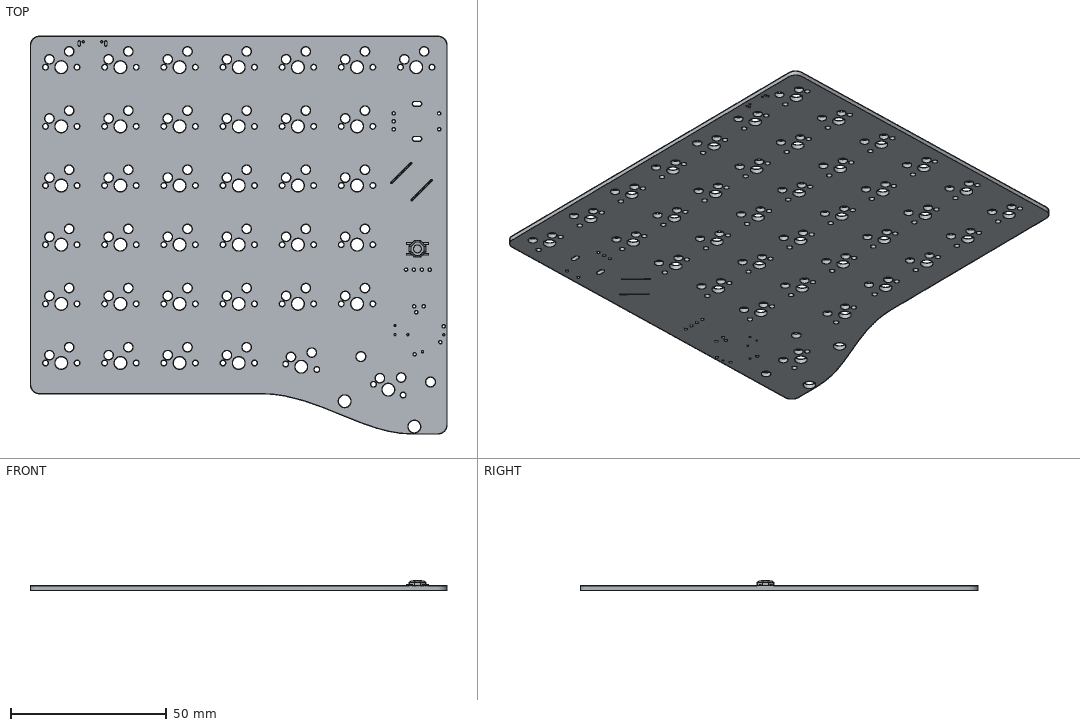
import cadquery as cq
import math

BOARD_LENGTH = 134.0
BOARD_DEPTH = 128.0
BOARD_THICKNESS = 1.6
CORNER_RADIUS = 3.0
LEFT_BOTTOM_Y = -51.0
WAVE_START_X = 7.5
WAVE_END_X = 55.6
WAVE_START_HANDLE = 17.5
WAVE_END_HANDLE = 16.0

KEY_PITCH = 19.0
KEYS_PER_ROW = [7, 6, 6, 6, 6, 4]
FIRST_KEY_X = -57.1
FIRST_KEY_Y = 54.0
GRID_STEP = KEY_PITCH / 15
POST_DIAMETER = 4.0
PEG_DIAMETER = 1.7
PEG_OFFSET = 4 * GRID_STEP
PIN_DIAMETER = 3.0
PIN_POINTS = [(-3 * GRID_STEP, 2 * GRID_STEP), (2 * GRID_STEP, 4 * GRID_STEP)]

INNER_THUMB = (20.1, -42.3)
INNER_THUMB_ANGLE = -10.0
OUTER_THUMB = (48.1, -49.7)
OUTER_THUMB_ANGLE = -20.0
STABILIZER_HALF_SPAN = 11.9
STABILIZER_SMALL_DIAMETER = 3.1
STABILIZER_SMALL_OFFSET = 7.0
STABILIZER_LARGE_OFFSET = -8.3

ENCODER_CENTER = (57.4, 36.6)
ENCODER_PIN_DIAMETER = 1.0
ENCODER_PIN_PITCH = 2.5
ENCODER_TERMINAL_X = -7.5
ENCODER_SWITCH_X = 7.1
ENCODER_SLOT_LENGTH = 3.0
ENCODER_SLOT_WIDTH = 1.5
ENCODER_SLOT_OFFSET = 5.6

HEADER_CENTER = (57.6, -11.1)
HEADER_PITCH = 2.5
HEADER_PINS = 4
HEADER_DIAMETER = 1.0

DIAGONAL_SLOT_CENTERS = [(52.3, 20.0), (58.8, 14.5)]
DIAGONAL_SLOT_LENGTH = 9.4
DIAGONAL_SLOT_WIDTH = 0.4
DIAGONAL_SLOT_ANGLE = 45.0

CONNECTOR_X = -47.0
CONNECTOR_PEG_DIAMETER = 0.6
CONNECTOR_PEG_HALF_SPAN = 3.0
CONNECTOR_PEG_Y = 62.2
CONNECTOR_SLOT_HALF_SPAN = 4.3
CONNECTOR_SLOT_Y = 61.6
CONNECTOR_SLOT_LENGTH = 1.7
CONNECTOR_SLOT_WIDTH = 0.6

LARGER_HOLE_DIAMETER = 1.0
LARGER_HOLES = [(65.9, -29.3), (56.5, -38.3), (56.4, -22.9), (59.5, -22.9), (57.1, -24.8), (64.9, -34.5)]
SMALLER_HOLE_DIAMETER = 0.6
SMALLER_HOLES = [(50.2, -29.1), (50.2, -32.0), (54.4, -32.0), (65.9, -32.0), (59.1, -37.5)]

BUTTON_CENTER = (57.5, -4.4)
BUTTON_SIZE = 5.4
BUTTON_CORNER = 1.7
BUTTON_HEIGHT = 1.5
BUTTON_TOP_CHAMFER = 0.5
CAP_DIAMETER = 2.5
CAP_RISE = 0.12
LEG_SPAN = 7.0
LEG_WIDTH = 0.5
LEG_THICKNESS = 0.3
LEG_OFFSET = 1.7


def place(points, center, angle=0.0):
    """Turn points about the origin, then move them to a center."""
    cosine = math.cos(math.radians(angle))
    sine = math.sin(math.radians(angle))
    return [(center[0] + x * cosine - y * sine, center[1] + x * sine + y * cosine) for x, y in points]


def drill(board, points, diameter):
    """Cut round through holes."""
    return board.cut(cq.Workplane("XY").pushPoints(points).circle(diameter / 2).extrude(BOARD_THICKNESS))


def cut_slots(board, points, length, width, angle=0.0):
    """Cut round-ended through slots."""
    return board.cut(cq.Workplane("XY").pushPoints(points).slot2D(length, width, angle).extrude(BOARD_THICKNESS))


def board_blank():
    """Plate with rounded corners and an S-shaped lower edge."""
    right = BOARD_LENGTH / 2
    top = BOARD_DEPTH / 2
    radius = CORNER_RADIUS
    inset = radius * (1 - math.sqrt(0.5))
    wave = [
        (WAVE_END_X, -top),
        (WAVE_END_X - WAVE_END_HANDLE, -top),
        (WAVE_START_X + WAVE_START_HANDLE, LEFT_BOTTOM_Y),
        (WAVE_START_X, LEFT_BOTTOM_Y),
    ]
    return (
        cq.Workplane("XY")
        .moveTo(-right + radius, top)
        .lineTo(right - radius, top)
        .threePointArc((right - inset, top - inset), (right, top - radius))
        .lineTo(right, -top + radius)
        .threePointArc((right - inset, -top + inset), (right - radius, -top))
        .lineTo(WAVE_END_X, -top)
        .bezier(wave)
        .lineTo(-right + radius, LEFT_BOTTOM_Y)
        .threePointArc((-right + inset, LEFT_BOTTOM_Y + inset), (-right, LEFT_BOTTOM_Y + radius))
        .lineTo(-right, top - radius)
        .threePointArc((-right + inset, top - inset), (-right + radius, top))
        .close()
        .extrude(BOARD_THICKNESS)
    )


def key_places():
    """Center and angle of every key."""
    keys = []
    for row, count in enumerate(KEYS_PER_ROW):
        y = FIRST_KEY_Y - row * KEY_PITCH
        keys += [((FIRST_KEY_X + column * KEY_PITCH, y), 0.0) for column in range(count)]
    keys.append((INNER_THUMB, INNER_THUMB_ANGLE))
    keys.append((OUTER_THUMB, OUTER_THUMB_ANGLE))
    return keys


def cut_keys(board):
    """Post, peg and pin holes of every key."""
    posts, pegs, pins = [], [], []
    for center, angle in key_places():
        posts.append(center)
        pegs += place([(-PEG_OFFSET, 0), (PEG_OFFSET, 0)], center, angle)
        pins += place(PIN_POINTS, center, angle)
    board = drill(board, pins, PIN_DIAMETER)
    board = drill(board, posts, POST_DIAMETER)
    return drill(board, pegs, PEG_DIAMETER)


def cut_stabilizer(board):
    """Small and large stabilizer holes on both sides of the outer thumb key."""
    sides = (-STABILIZER_HALF_SPAN, STABILIZER_HALF_SPAN)
    small = place([(x, STABILIZER_SMALL_OFFSET) for x in sides], OUTER_THUMB, OUTER_THUMB_ANGLE)
    large = place([(x, STABILIZER_LARGE_OFFSET) for x in sides], OUTER_THUMB, OUTER_THUMB_ANGLE)
    board = drill(board, small, STABILIZER_SMALL_DIAMETER)
    return drill(board, large, POST_DIAMETER)


def cut_encoder(board):
    """Three terminal holes, two switch holes and two mounting slots."""
    pins = [(ENCODER_TERMINAL_X, step * ENCODER_PIN_PITCH) for step in (-1, 0, 1)]
    pins += [(ENCODER_SWITCH_X, step * ENCODER_PIN_PITCH) for step in (-1, 1)]
    slots = [(0, -ENCODER_SLOT_OFFSET), (0, ENCODER_SLOT_OFFSET)]
    board = drill(board, place(pins, ENCODER_CENTER), ENCODER_PIN_DIAMETER)
    return cut_slots(board, place(slots, ENCODER_CENTER), ENCODER_SLOT_LENGTH, ENCODER_SLOT_WIDTH)


def cut_header(board):
    """One row of evenly spaced pin holes."""
    middle = (HEADER_PINS - 1) / 2
    pins = [((pin - middle) * HEADER_PITCH, 0) for pin in range(HEADER_PINS)]
    return drill(board, place(pins, HEADER_CENTER), HEADER_DIAMETER)


def cut_connector(board):
    """Peg holes and upright slots on both sides of the connector."""
    pegs = [(CONNECTOR_X + side * CONNECTOR_PEG_HALF_SPAN, CONNECTOR_PEG_Y) for side in (-1, 1)]
    slots = [(CONNECTOR_X + side * CONNECTOR_SLOT_HALF_SPAN, CONNECTOR_SLOT_Y) for side in (-1, 1)]
    board = drill(board, pegs, CONNECTOR_PEG_DIAMETER)
    return cut_slots(board, slots, CONNECTOR_SLOT_LENGTH, CONNECTOR_SLOT_WIDTH, 90)


def build_board():
    board = board_blank()
    board = cut_keys(board)
    board = cut_stabilizer(board)
    board = cut_encoder(board)
    board = cut_header(board)
    board = cut_connector(board)
    board = cut_slots(
        board, DIAGONAL_SLOT_CENTERS, DIAGONAL_SLOT_LENGTH, DIAGONAL_SLOT_WIDTH, DIAGONAL_SLOT_ANGLE
    )
    board = drill(board, LARGER_HOLES, LARGER_HOLE_DIAMETER)
    return drill(board, SMALLER_HOLES, SMALLER_HOLE_DIAMETER)


def build_button():
    """Eight-sided button with a round cap and two flat leg strips, standing on the board."""
    body = (
        cq.Workplane("XY")
        .rect(BUTTON_SIZE, BUTTON_SIZE)
        .extrude(BUTTON_HEIGHT)
        .edges("|Z")
        .chamfer(BUTTON_CORNER)
        .faces(">Z")
        .chamfer(BUTTON_TOP_CHAMFER)
        .faces(">Z")
        .workplane()
        .circle(CAP_DIAMETER / 2)
        .extrude(CAP_RISE)
    )
    legs = (
        cq.Workplane("XY")
        .pushPoints([(0, -LEG_OFFSET), (0, LEG_OFFSET)])
        .rect(LEG_SPAN, LEG_WIDTH)
        .extrude(LEG_THICKNESS)
    )
    return body.union(legs).translate((*BUTTON_CENTER, BOARD_THICKNESS))


board = build_board()
button = build_button()
result = cq.Compound.makeCompound([board.val(), button.val()])